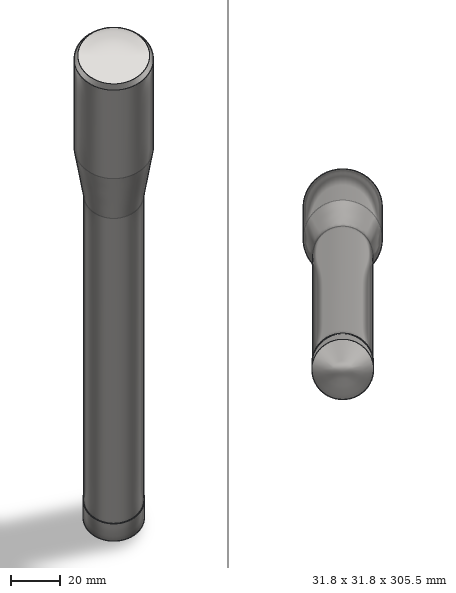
import cadquery as cq

total_length = 305.5
point_height = 4.5
joint_height = 16.0
neck_bottom = 214.8
collar_bottom = 245.5

collar_diameter = 31.8
shank_diameter = 24.0
tip_diameter = 24.7

bevel_width = 1.5
bevel_height = 2.0


def revolve_about_axis(points):
    """Revolve a half profile of (radius, height) points about the Z axis."""
    return cq.Workplane("XZ").polyline(points).close().revolve(360, (0, 0, 0), (0, 1, 0))


def make_shank():
    """Slim round shank that widens through a tapered neck into a bevelled collar."""
    shank_radius = shank_diameter / 2
    collar_radius = collar_diameter / 2
    return revolve_about_axis([
        (0, joint_height),
        (shank_radius, joint_height),
        (shank_radius, neck_bottom),
        (collar_radius, collar_bottom),
        (collar_radius, total_length - bevel_height),
        (collar_radius - bevel_width, total_length),
        (0, total_length),
    ])


def make_tip():
    """Round tip with a shallow conical point, seated flat against the shank end."""
    tip_radius = tip_diameter / 2
    return revolve_about_axis([
        (0, 0),
        (tip_radius, point_height),
        (tip_radius, joint_height),
        (0, joint_height),
    ])


shank = make_shank()
tip = make_tip()

result = cq.Compound.makeCompound([shank.val(), tip.val()])